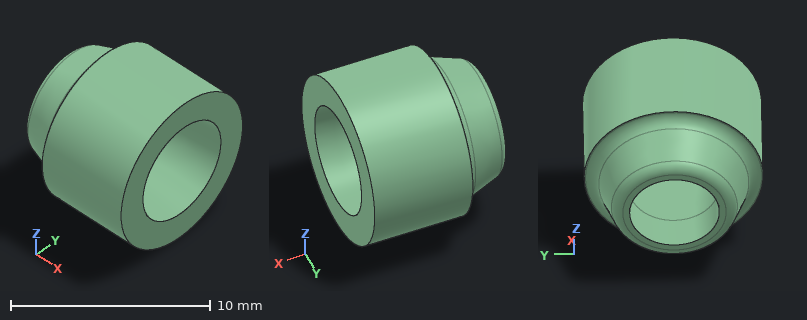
import cadquery as cq
import math

body_diameter = 9.0
bore_diameter = 4.5
total_length = 8.0
nose_length = 2.6
nose_tip_radius = 3.02
nose_half_angle = 19.2
tip_fillet = 0.6
root_fillet = 0.7
mouth_diameter = 5.76
bore_depth = 1.8

nose_root_radius = nose_tip_radius + nose_length * math.tan(math.radians(nose_half_angle))


def revolved_body():
    """Solid cylinder with a conical nose, centred on the X axis."""
    profile = (
        cq.Workplane("XY")
        .polyline([
            (0, 0),
            (0, nose_tip_radius),
            (nose_length, nose_root_radius),
            (nose_length, body_diameter / 2),
            (total_length, body_diameter / 2),
            (total_length, 0),
        ])
        .close()
    )
    return profile.revolve(360, (0, 0, 0), (1, 0, 0))


def circle_edge(x, radius):
    """Selector for the circular edge of the given radius at position x."""
    tolerance = 0.001
    return cq.selectors.BoxSelector(
        (x - tolerance, -radius - tolerance, -radius - tolerance),
        (x + tolerance, radius + tolerance, radius + tolerance),
        boundingbox=True,
    )


def axial_hole(start, end, diameter):
    """Cylinder along X used to cut a round hole."""
    return cq.Workplane("YZ", origin=(start, 0, 0)).circle(diameter / 2).extrude(end - start)


body = revolved_body()
body = body.edges(circle_edge(0, nose_tip_radius)).fillet(tip_fillet)
body = body.edges(circle_edge(nose_length, nose_root_radius)).fillet(root_fillet)

bore = axial_hole(0, total_length, bore_diameter)
flare = (
    cq.Workplane("YZ", origin=(bore_depth, 0, 0))
    .circle(bore_diameter / 2)
    .workplane(offset=total_length - bore_depth)
    .circle(mouth_diameter / 2)
    .loft(ruled=True)
)

result = body.cut(bore).cut(flare)